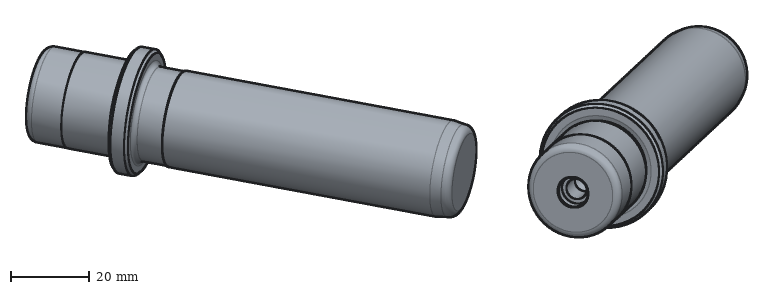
import cadquery as cq
import math

length = 114.0
body_radius = 12.5
flange_radius = 33.0 / 2

spigot_face_radius = 10.6
spigot_round_length = 2.0
spigot_lead_length = 10.0
lead_relief = 0.06

flange_start = 23.7
flange_end = 29.0
flange_chamfer = 0.8
undercut_start = 22.8
undercut_bottom_start = 23.4
undercut_radius = 12.2
undercut_face_radius = 13.6
undercut_face_depth = 0.3

neck_radius = 12.3
neck_fillet = 1.4
neck_end = 36.9
neck_step_length = 0.2

taper_start = 108.9
taper_end = 111.7
taper_end_radius = 12.1
end_face_radius = 10.0

counterbore_radius = 3.9
counterbore_depth = 3.1
mouth_chamfer = 0.2
drill_radius = 5.4 / 2
drill_depth = 10.3
drill_tip_half_angle = math.radians(59)


def round_middle(start, end):
    """Point midway along a convex corner round between two outline points."""
    bulge = math.sqrt(0.5)
    outer_first = start[1] > end[1]
    corner = (end[0], start[1]) if outer_first else (start[0], end[1])
    centre = (start[0], end[1]) if outer_first else (end[0], start[1])
    return tuple(c + bulge * (k - c) for c, k in zip(centre, corner))


def pillar():
    lead_radius = body_radius - lead_relief
    spigot_round = ((0, spigot_face_radius), (spigot_round_length, lead_radius))
    end_round = ((taper_end, taper_end_radius), (length, end_face_radius))
    recess_x = flange_start + undercut_face_depth
    fillet_offset = neck_fillet * (1 - math.sqrt(0.5))
    outline = (
        cq.Workplane("XY")
        .lineTo(*spigot_round[0])
        .threePointArc(round_middle(*spigot_round), spigot_round[1])
        .lineTo(spigot_lead_length, lead_radius)
        .lineTo(spigot_lead_length, body_radius)
        .lineTo(undercut_start, body_radius)
        .lineTo(undercut_bottom_start, undercut_radius)
        .lineTo(recess_x, undercut_radius)
        .lineTo(flange_start, undercut_face_radius)
        .lineTo(flange_start, flange_radius - flange_chamfer)
        .lineTo(flange_start + flange_chamfer, flange_radius)
        .lineTo(flange_end - flange_chamfer, flange_radius)
        .lineTo(flange_end, flange_radius - flange_chamfer)
        .lineTo(flange_end, neck_radius + neck_fillet)
        .threePointArc(
            (flange_end + fillet_offset, neck_radius + fillet_offset),
            (flange_end + neck_fillet, neck_radius),
        )
        .lineTo(neck_end, neck_radius)
        .lineTo(neck_end + neck_step_length, body_radius)
        .lineTo(taper_start, body_radius)
        .lineTo(*end_round[0])
        .threePointArc(round_middle(*end_round), end_round[1])
        .lineTo(length, 0)
        .close()
    )
    return outline.revolve(360, (0, 0, 0), (1, 0, 0))


def stepped_hole():
    drill_tip = drill_depth + drill_radius / math.tan(drill_tip_half_angle)
    outline = (
        cq.Workplane("XY")
        .lineTo(0, counterbore_radius + mouth_chamfer)
        .lineTo(mouth_chamfer, counterbore_radius)
        .lineTo(counterbore_depth, counterbore_radius)
        .lineTo(counterbore_depth, drill_radius)
        .lineTo(drill_depth, drill_radius)
        .lineTo(drill_tip, 0)
        .close()
    )
    return outline.revolve(360, (0, 0, 0), (1, 0, 0))


result = pillar().cut(stepped_hole())